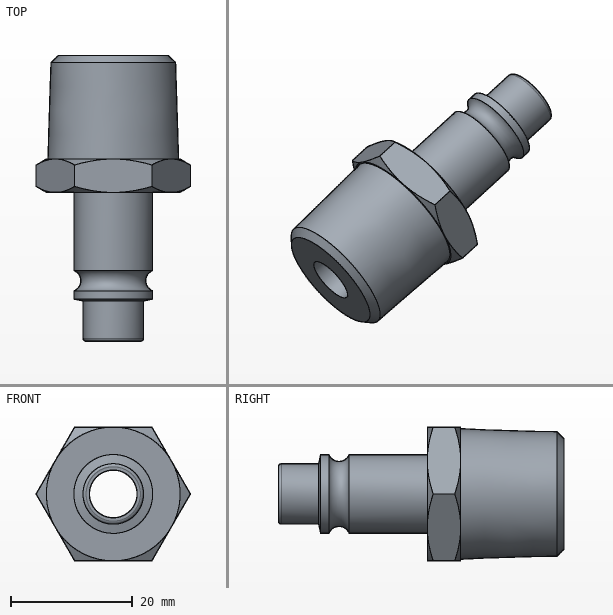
import cadquery as cq
import math

total_length = 47.0
bore_radius = 3.9

tip_radius = 5.0
tip_rounding = 0.5
body_radius = 6.5
collar_cone_start = 6.65
collar_cone_end = 6.95
groove_start = 8.3
groove_end = 11.65
groove_floor_radius = 5.35

hex_start = 24.5
hex_end = 30.0
across_flats = 22.0
hex_chamfer_angle = 30.0

gauge_plane = 38.85
gauge_radius = 10.5
taper_per_length = 1 / 32
end_chamfer_length = 1.18
end_face_radius = 9.05


def thread_radius(y):
    """Radius of the tapered thread at position y."""
    return gauge_radius + (gauge_plane - y) * taper_per_length


def revolve_about_y(profile):
    return profile.close().revolve(360, (0, 0, 0), (0, 1, 0))


def make_plug():
    """Tip, collar, rounded locking groove and cylindrical body."""
    arc_offset = tip_rounding * (1 - math.sqrt(0.5))
    groove_middle = (groove_start + groove_end) / 2
    return revolve_about_y(
        cq.Workplane("XY")
        .lineTo(tip_radius - tip_rounding, 0)
        .threePointArc((tip_radius - arc_offset, arc_offset), (tip_radius, tip_rounding))
        .lineTo(tip_radius, collar_cone_start)
        .lineTo(body_radius, collar_cone_end)
        .lineTo(body_radius, groove_start)
        .threePointArc((groove_floor_radius, groove_middle), (body_radius, groove_end))
        .lineTo(body_radius, hex_end)
        .lineTo(0, hex_end)
    )


def make_hexagon():
    """Hexagon with its corners trimmed by a cone at each end."""
    corner_radius = across_flats / 2 / math.cos(math.pi / 6)
    chamfer_width = corner_radius - across_flats / 2
    chamfer_length = chamfer_width * math.tan(math.radians(hex_chamfer_angle))
    length = hex_end - hex_start
    prism = (
        cq.Workplane("XZ", origin=(0, hex_start, 0))
        .polygon(6, 2 * corner_radius)
        .extrude(-length)
    )
    trimming_body = revolve_about_y(
        cq.Workplane("XY")
        .moveTo(0, hex_start)
        .lineTo(across_flats / 2, hex_start)
        .lineTo(corner_radius, hex_start + chamfer_length)
        .lineTo(corner_radius, hex_end - chamfer_length)
        .lineTo(across_flats / 2, hex_end)
        .lineTo(0, hex_end)
    )
    return prism.intersect(trimming_body)


def make_thread():
    """Plain tapered cone with a chamfered end."""
    chamfer_start = total_length - end_chamfer_length
    return revolve_about_y(
        cq.Workplane("XY")
        .moveTo(0, hex_end)
        .lineTo(thread_radius(hex_end), hex_end)
        .lineTo(thread_radius(chamfer_start), chamfer_start)
        .lineTo(end_face_radius, total_length)
        .lineTo(0, total_length)
    )


bore = cq.Workplane("XZ").circle(bore_radius).extrude(-total_length)

result = make_plug().union(make_hexagon()).union(make_thread()).cut(bore)